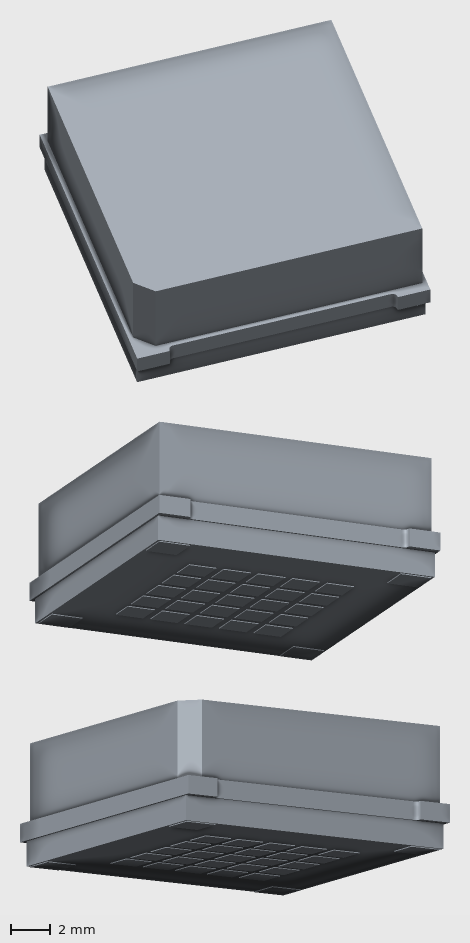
import cadquery as cq

plate_x = 16.1
plate_y = 15.5
plate_height = 0.95
notch_depth = 0.3
notch_corner_radius = 0.25
plate_ear = 1.72

base_side = 15.25
base_height = 1.29

cover_side = 15.0
cover_bevel = 0.9

pad_height = 0.05
pad_side = 1.5
pad_pitch = 1.9
pads_per_row = 5
corner_pad_side = 1.69

overall_height = 6.35
base_bottom = pad_height
plate_bottom = base_bottom + base_height
cover_bottom = plate_bottom + plate_height
cover_height = overall_height - cover_bottom


def slab(length_x, length_y, height, bottom):
    """Rectangular layer centred on the Z axis."""
    return cq.Workplane("XY").workplane(offset=bottom).rect(length_x, length_y).extrude(height)


def carrier_plate():
    """Plate with a long shallow notch in each X side, rounded in its inner corners."""
    plate = slab(plate_x, plate_y, plate_height, plate_bottom)
    notch_length = plate_y - 2 * plate_ear
    for side in (-1, 1):
        notch = slab(2 * notch_depth, notch_length, plate_height, plate_bottom)
        inner_edges = "|Z and >X" if side < 0 else "|Z and <X"
        notch = notch.edges(inner_edges).fillet(notch_corner_radius)
        plate = plate.cut(notch.translate((side * plate_x / 2, 0, 0)))
    return plate


def contact_pads():
    """Square grid of pads with a larger pad in each corner of the base."""
    grid = cq.Workplane("XY").rarray(pad_pitch, pad_pitch, pads_per_row, pads_per_row)
    grid = grid.rect(pad_side, pad_side).extrude(pad_height)
    corner_spacing = cover_side - corner_pad_side
    corners = cq.Workplane("XY").rarray(corner_spacing, corner_spacing, 2, 2)
    corners = corners.rect(corner_pad_side, corner_pad_side).extrude(pad_height)
    return grid.add(corners).combine()


base = slab(base_side, base_side, base_height, base_bottom)
cover = slab(cover_side, cover_side, cover_height, cover_bottom)
cover = cover.edges("|Z and >X and <Y").chamfer(cover_bevel)

result = base.union(carrier_plate()).union(cover).union(contact_pads())